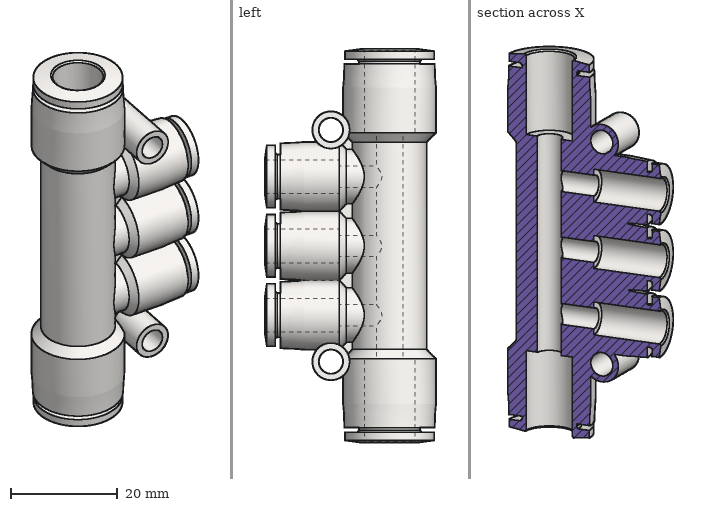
import cadquery as cq

overall_length = 74.0
half_length = overall_length / 2
tube_diameter = 14.0

port_count = 3
port_pitch = 13.0
port_end = 23.4
stub_diameter = 10.3

lug_outer_diameter = 7.0
lug_hole_diameter = 4.5
lug_y = 11.0
lug_z = 21.75

web_thickness = 1.0

MAIN_FITTING = dict(
    passage=5.0,
    bore=9.53,
    mouth=10.2,
    neck=11.53,
    flare=12.1,
    button=16.8,
    rim=17.0,
    band=17.1,
    body=17.5,
    root=tube_diameter,
    button_edge=0.45,
    button_back=2.0,
    flare_end=2.4,
    rim_front=2.85,
    rim_back=4.1,
    taper_end=7.3,
    body_end=15.8,
    root_start=17.55,
)
PORT_FITTING = dict(
    passage=4.0,
    bore=6.35,
    mouth=7.0,
    neck=8.35,
    flare=8.8,
    button=11.8,
    rim=12.5,
    band=12.65,
    body=13.05,
    root=stub_diameter,
    button_edge=0.35,
    button_back=1.95,
    flare_end=2.3,
    rim_front=2.9,
    rim_back=4.2,
    taper_end=7.35,
    body_end=14.0,
    root_start=15.3,
)

lug_length = MAIN_FITTING["body"]


def fitting_solid(size, end):
    """Outside of a fitting on +Z: root from the origin, body, neck and release button up to end."""
    outline = [
        (0, 0),
        (size["root"] / 2, 0),
        (size["root"] / 2, end - size["root_start"]),
        (size["body"] / 2, end - size["body_end"]),
        (size["body"] / 2, end - size["taper_end"]),
        (size["band"] / 2, end - size["rim_back"]),
        (size["rim"] / 2, end - size["rim_front"]),
        (size["neck"] / 2, end - size["rim_front"]),
        (size["neck"] / 2, end - size["flare_end"]),
        (size["flare"] / 2, end - size["button_back"]),
        (size["button"] / 2, end - size["button_back"]),
        (size["button"] / 2, end - size["button_edge"]),
        (size["mouth"] / 2, end),
        (0, end),
    ]
    return cq.Workplane("XZ").polyline(outline).close().revolve(360, (0, 0, 0), (0, 1, 0))


def fitting_cavity(size, end):
    """Inside of a fitting on +Z: tapered mouth, tube socket and the passage to the centre."""
    socket_floor = end - size["body_end"]
    mouth_depth = (size["mouth"] - size["bore"]) / 2
    outline = [
        (0, 0),
        (size["passage"] / 2, 0),
        (size["passage"] / 2, socket_floor),
        (size["bore"] / 2, socket_floor),
        (size["bore"] / 2, end - mouth_depth),
        (size["mouth"] / 2, end),
        (0, end),
    ]
    return cq.Workplane("XZ").polyline(outline).close().revolve(360, (0, 0, 0), (0, 1, 0))


def both_ends(shape):
    """Shape together with its mirror image below Z = 0."""
    return shape.union(shape.mirror("XY"))


def at_side_ports(shape):
    """Copies of a +Z shape turned to +Y, one at each side port."""
    turned = shape.rotate((0, 0, 0), (1, 0, 0), -90)
    first_z = -port_pitch * (port_count - 1) / 2
    copies = turned.translate((0, 0, first_z))
    for index in range(1, port_count):
        copies = copies.union(turned.translate((0, 0, first_z + index * port_pitch)))
    return copies


def lug_cylinders(diameter):
    """Cylinders along X at both lug positions."""
    centres = [(lug_y, lug_z), (lug_y, -lug_z)]
    lug_face = cq.Workplane("YZ", origin=(-lug_length / 2, 0, 0))
    return lug_face.pushPoints(centres).circle(diameter / 2).extrude(lug_length)


def web():
    """Plate in the YZ plane from the tube axis to the lug axes."""
    plate = cq.Workplane("XY").box(web_thickness, lug_y, 2 * lug_z)
    return plate.translate((0, lug_y / 2, 0))


main_body = both_ends(fitting_solid(MAIN_FITTING, half_length))
side_ports = at_side_ports(fitting_solid(PORT_FITTING, port_end))
cavities = both_ends(fitting_cavity(MAIN_FITTING, half_length))
cavities = cavities.union(at_side_ports(fitting_cavity(PORT_FITTING, port_end)))

result = main_body.union(side_ports).union(web()).union(lug_cylinders(lug_outer_diameter))
result = result.cut(cavities).cut(lug_cylinders(lug_hole_diameter))